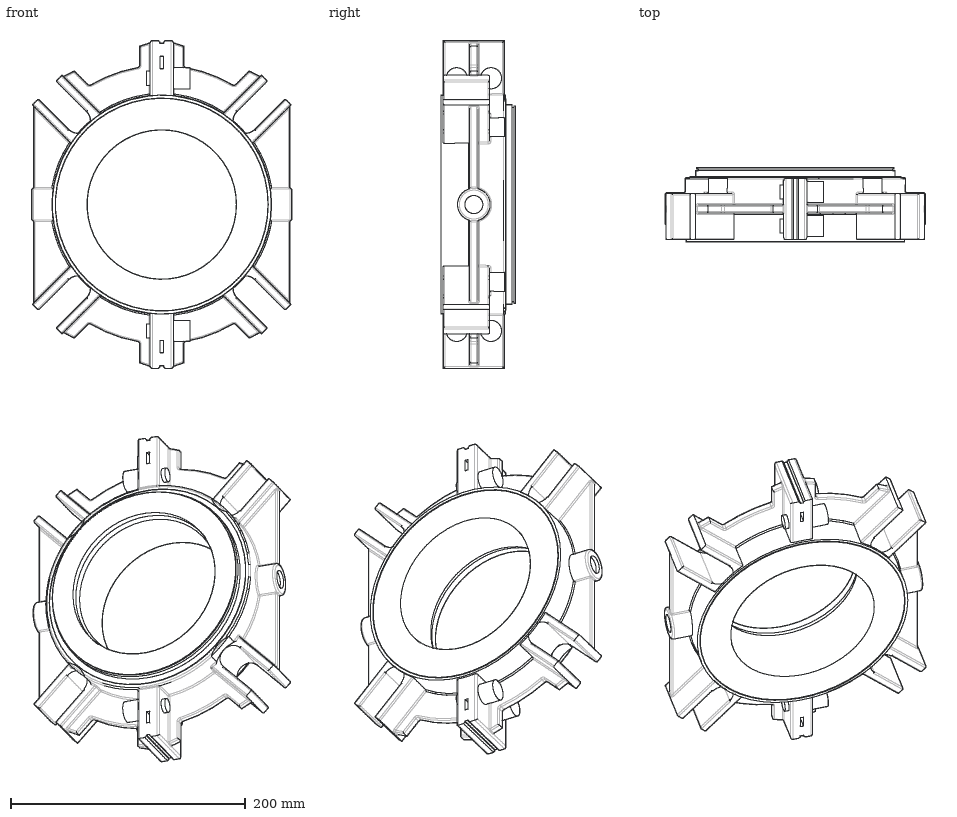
import cadquery as cq
import math

LENGTH = 63.5
BORE_D = 127.0
BACK_BORE_D = 130.18
BACK_BORE_DEPTH = 6.5
BACK_BORE_TAPER = 4.8
BODY_FRONT_R = 93.2
BODY_BACK_R = 94.0
BODY_LENGTH = 54.8
BODY_EDGE_FILLET = 1.4
SHOULDER_R = 90.0
SHOULDER_END = 55.6
SPIGOT_R = 170.18 / 2
SPIGOT_END = 60.7
GROOVE_R = 165.74 / 2
LIP_R = 168.28 / 2
LIP_THICKNESS = 1.4
FACE_GROOVE_INNER_D = 180.97
FACE_GROOVE_OUTER_D = 181.48
FACE_GROOVE_DEPTH = 0.5

TOLERANCE = 0.05

WEB_Y = 28.0
WEB_THICKNESS = 7.0
WEB_FILLET = 1.2
WEB_R = 118.5
WEB_CORNER_FILLET = 2.0
ROOT_R = 80.0

RIM_THICKNESS = 1.8
WING_DROP = 1.6
WALL_Y0 = RIM_THICKNESS
WALL_Y1 = 41.3
WALL_END_R = 138.0
SLOT_HALF = 10.7
WALL_OUTER = 17.8
WALL_EDGE_FILLET = 1.2
WING_HALF = 27.8
FLANK_INSET = 1.0
WING_END_R = 133.2
SLOT_FLOOR_R = 90.5
SCALLOP_R = 25.0
FLANK_X = (WALL_END_R + WALL_OUTER) / math.sqrt(2) - FLANK_INSET

PAD_Y0 = RIM_THICKNESS
PAD_Y1 = 54.0
PAD_HALF = 9.8
PAD_TOP = 279.35 / 2
PAD_EDGE_FILLET = 1.8
PAD_WING_HALF = 18.9
PAD_WING_TOP = 134.9
NOTCH_WIDTH = 3.0
NOTCH_DEPTH = 2.2
NOTCH_EDGE_CHAMFER = 1.4
SLIT_WIDTH = 2.6
SLIT_BOTTOM = 115.8
SLIT_TOP = 126.2
PIN_Z = 107.6
PIN_SPACING = 29.2
PIN_D = 18.0
PIN_END_X = 24.2
BUTTON_D = 12.0
BUTTON_END_X = 13.2

BOSS_D = 27.8
BOSS_EDGE_FILLET = 1.6
BOSS_END_X = 221.67 / 2
BOSS_HOLE_D = 15.34
BOSS_HOLE_DEPTH = 3.0


def section(y):
    """Workplane whose local axes are X and Z; negative extrusions run toward +Y."""
    return cq.Workplane("XZ", origin=(0, y, 0))


def block(x0, x1, z0, z1, y0, y1):
    return cq.Workplane("XY").box(x1 - x0, y1 - y0, z1 - z0, centered=False).translate((x0, y0, z0))


def rod(diameter, x0, x1, y, z):
    """Cylinder along X between two X positions."""
    return cq.Workplane("YZ", origin=(x0, y, z)).circle(diameter / 2).extrude(x1 - x0)


def turned(profile):
    """Revolve a radius and Y profile about the Y axis."""
    return cq.Workplane("XY").polyline(profile).close().revolve(360, (0, 0, 0), (0, 1, 0))


def to_diagonal(shape):
    """Turn a shape built along +Z onto the +X +Z diagonal."""
    return shape.rotate((0, 0, 0), (0, 1, 0), 45)


def four_quadrants(shape):
    pair = shape.union(shape.mirror("YZ"))
    return pair.union(pair.mirror("XY"))


def ring_blank():
    profile = [
        (0, 0),
        (BODY_FRONT_R, 0),
        (BODY_BACK_R, BODY_LENGTH),
        (SHOULDER_R, BODY_LENGTH),
        (SHOULDER_R, SHOULDER_END),
        (SPIGOT_R, SHOULDER_END),
        (SPIGOT_R, SPIGOT_END),
        (GROOVE_R, SPIGOT_END),
        (GROOVE_R, LENGTH - LIP_THICKNESS),
        (LIP_R, LENGTH - LIP_THICKNESS),
        (LIP_R, LENGTH),
        (0, LENGTH),
    ]
    outer_back_edge = cq.selectors.RadiusNthSelector(-1)
    return turned(profile).edges("%CIRCLE").edges(outer_back_edge).fillet(BODY_EDGE_FILLET)


def slot_walls():
    """The two walls beside one slot, along +Z, joined at the foot where the slot is rounded out."""
    right = block(SLOT_HALF, WALL_OUTER, ROOT_R, WALL_END_R, WALL_Y0, WALL_Y1)
    right = right.edges("(>Z and <X) or ((<Y or >Y) and |Z)").fillet(WALL_EDGE_FILLET)
    wall_middle = (SLOT_HALF + WALL_OUTER) / 2
    foot = block(0, wall_middle, ROOT_R, SLOT_FLOOR_R + SLOT_HALF, WALL_Y0, WALL_Y1)
    right = right.union(foot)
    return right.union(right.mirror("YZ"))


def web():
    y0 = WEB_Y - WEB_THICKNESS / 2

    def plate(points):
        return section(y0).polyline(points).close().extrude(-WEB_THICKNESS)

    disc = section(y0).circle(WEB_R).extrude(-WEB_THICKNESS)
    top_sector = plate([(0, 0), (2 * WEB_R, 2 * WEB_R), (-2 * WEB_R, 2 * WEB_R)])
    sectors = disc.intersect(top_sector.union(top_sector.mirror("XY")))
    tip_z = FLANK_X - WALL_OUTER * math.sqrt(2)
    flank = plate([(0, 0), (FLANK_X, tip_z), (FLANK_X, -tip_z)])
    flanks = flank.union(flank.mirror("YZ"))
    wall_middle = (SLOT_HALF + WALL_OUTER) / 2
    wall_wing = plate([
        (-wall_middle, ROOT_R),
        (-wall_middle, WALL_END_R - WING_DROP),
        (-WALL_OUTER, WALL_END_R - WING_DROP),
        (-WING_HALF, WING_END_R),
        (-WING_HALF, ROOT_R),
    ])
    pad_shoulder = PAD_TOP - PAD_EDGE_FILLET
    pad_wings = plate([
        (-PAD_WING_HALF, 0),
        (-PAD_WING_HALF, PAD_WING_TOP),
        (-PAD_HALF, pad_shoulder),
        (PAD_HALF, pad_shoulder),
        (PAD_WING_HALF, PAD_WING_TOP),
        (PAD_WING_HALF, 0),
    ])
    plates = sectors.union(flanks).union(four_quadrants(to_diagonal(wall_wing)))
    plates = plates.union(pad_wings).union(pad_wings.mirror("XY"))

    def meets_disc_rim(edge):
        middle = edge.Center()
        return abs(math.hypot(middle.x, middle.z) - WEB_R) < TOLERANCE

    return plates.edges("|Y").filter(meets_disc_rim).fillet(WEB_CORNER_FILLET)


def clamp_pad():
    pad = block(-PAD_HALF, PAD_HALF, ROOT_R, PAD_TOP, PAD_Y0, PAD_Y1)
    return pad.edges("|Z or (|Y and >Z)").fillet(PAD_EDGE_FILLET)


def pad_pins():
    """Long pins on the +X side of both pads and short buttons on the -X side."""
    pins = cq.Workplane("XY")
    for z in (-PIN_Z, PIN_Z):
        for y in (WEB_Y - PIN_SPACING / 2, WEB_Y + PIN_SPACING / 2):
            pins = pins.add(rod(PIN_D, 0, PIN_END_X, y, z))
            pins = pins.add(rod(BUTTON_D, -BUTTON_END_X, 0, y, z))
    return pins.combine()


def pad_cuts():
    """Chamfered notch across each pad end and a slit through the pad below it."""
    half_notch = NOTCH_WIDTH / 2
    notch = block(-half_notch, half_notch, PAD_TOP - NOTCH_DEPTH, PAD_TOP, 0, LENGTH)
    mouth_profile = [
        (-half_notch - NOTCH_EDGE_CHAMFER, PAD_TOP),
        (-half_notch, PAD_TOP - NOTCH_EDGE_CHAMFER),
        (half_notch, PAD_TOP - NOTCH_EDGE_CHAMFER),
        (half_notch + NOTCH_EDGE_CHAMFER, PAD_TOP),
    ]
    mouth = section(0).polyline(mouth_profile).close().extrude(-LENGTH)
    slit = block(-SLIT_WIDTH / 2, SLIT_WIDTH / 2, SLIT_BOTTOM, SLIT_TOP, 0, LENGTH)
    cuts = notch.union(slit).union(mouth)
    return cuts.union(cuts.mirror("XY"))


def slot_cut():
    """Round-ended slot between the walls, widening to a shallow scallop behind them."""
    center = SLOT_FLOOR_R + SLOT_HALF
    depth = WALL_Y1 - RIM_THICKNESS
    slot = section(RIM_THICKNESS).center(0, center).circle(SLOT_HALF).extrude(-depth)
    slot = slot.union(block(-SLOT_HALF, SLOT_HALF, center, 2 * center, RIM_THICKNESS, WALL_Y1))
    scallop = section(WALL_Y1).center(0, SLOT_FLOOR_R + SCALLOP_R).circle(SCALLOP_R).extrude(WALL_Y1 - PAD_Y1)
    return slot.union(scallop)


def bore_cuts():
    """Through bore, tapered back counterbore and the fine groove in the front face."""
    bore = section(0).circle(BORE_D / 2).extrude(-LENGTH)
    back_y = LENGTH - BACK_BORE_DEPTH
    back = turned([
        (0, back_y - BACK_BORE_TAPER),
        (BORE_D / 2, back_y - BACK_BORE_TAPER),
        (BACK_BORE_D / 2, back_y),
        (BACK_BORE_D / 2, LENGTH),
        (0, LENGTH),
    ])
    groove = (
        section(0)
        .circle(FACE_GROOVE_OUTER_D / 2)
        .circle(FACE_GROOVE_INNER_D / 2)
        .extrude(-FACE_GROOVE_DEPTH)
    )
    return bore.union(back).union(groove)


def slab(y0, y1):
    """Selector for everything that lies wholly between two Y positions."""
    reach = 2 * WEB_R
    return cq.selectors.BoxSelector(
        (-reach, y0 - TOLERANCE, -reach),
        (reach, y1 + TOLERANCE, reach),
        boundingbox=True,
    )


def fillet_web(body):
    """Round the free rim of the web first, then the roots along ring, walls, pads and bosses."""
    y0 = WEB_Y - WEB_THICKNESS / 2
    y1 = WEB_Y + WEB_THICKNESS / 2
    for y in (y0, y1):
        rim_faces = body.faces(slab(y0, y1)).faces("not |Y")
        body = rim_faces.edges(slab(y, y)).fillet(WEB_FILLET)
    for y in (y0, y1):
        body = body.edges(slab(y, y)).fillet(WEB_FILLET)
    return body


boss = rod(BOSS_D, ROOT_R, BOSS_END_X, WEB_Y, 0).faces(">X").edges().fillet(BOSS_EDGE_FILLET)
boss_hole = rod(BOSS_HOLE_D, BOSS_END_X - BOSS_HOLE_DEPTH, BOSS_END_X, WEB_Y, 0)
pad = clamp_pad()

body = ring_blank().union(web())
body = body.union(four_quadrants(to_diagonal(slot_walls())))
body = body.union(pad).union(pad.mirror("XY"))
body = body.union(boss).union(boss.mirror("YZ"))
body = body.cut(four_quadrants(to_diagonal(slot_cut())))
body = fillet_web(body)

body = body.union(pad_pins())
body = body.cut(pad_cuts())
body = body.cut(boss_hole).cut(boss_hole.mirror("YZ"))
result = body.cut(bore_cuts())